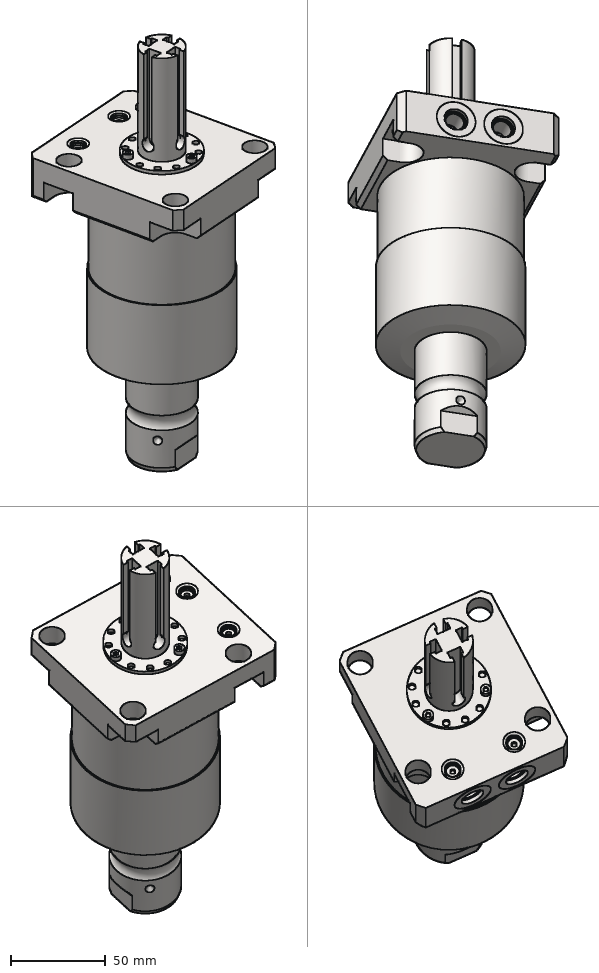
import cadquery as cq
import math


PLATE_LENGTH = 100.0
PLATE_WIDTH = 88.9
PLATE_THICKNESS = 25.4
PLATE_X_MIN = -55.5
PLATE_X_MAX = PLATE_X_MIN + PLATE_LENGTH
PLATE_Y_MAX = PLATE_WIDTH / 2
CORNER_CHAMFER = 4.0
BOTTOM_CHAMFER = 2.54

BOLT_OFFSET = 35.0
BOLT_HOLE_DIAMETER = 13.5
BOLT_SLOT_WIDTH = 19.3
BOLT_SLOT_FLOOR = -12.5

PORT_Y = 13.0
PORT_Z = -13.1
PORT_SPOT_DIAMETER = 21.3
PORT_SPOT_DEPTH = 0.1
PORT_MOUTH_DIAMETER = 12.7
PORT_MOUTH_DEPTH = 2.5
PORT_SEAT_DIAMETER = 11.3
PORT_SEAT_DEPTH = 2.8
PORT_BORE_DIAMETER = 9.9
PORT_DEPTH = 14.0

PLUG_X = -41.6
PLUG_Y = 18.0
PLUG_MOUTH_DIAMETER = 11.6
PLUG_MOUTH_DEPTH = 0.6
PLUG_SEAT_DIAMETER = 8.6
PLUG_SEAT_DEPTH = 1.8
PLUG_RECESS_DIAMETER = 7.0
PLUG_RECESS_DEPTH = 3.0
PLUG_CENTRE_DIAMETER = 2.8
PLUG_CENTRE_DEPTH = 5.0

FLANGE_DIAMETER = 44.45
FLANGE_HEIGHT = 2.2
FLANGE_HOLE_COUNT = 12
FLANGE_HOLE_CIRCLE = 39.0
FLANGE_HOLE_DIAMETER = 3.7
SCREW_EVERY = 4
SCREW_HEAD_DIAMETER = 5.5
SCREW_HEAD_HEIGHT = 3.0
SCREW_SOCKET_ACROSS_FLATS = 2.5
SCREW_SOCKET_DEPTH = 1.5

SHAFT_DIAMETER = 25.4
SHAFT_TOP = 65.2
SLOT_COUNT = 4
SLOT_NECK_WIDTH = 5.3
SLOT_HEAD_WIDTH = 7.5
SLOT_HEAD_OUTER_RADIUS = 9.4
SLOT_FLOOR_RADIUS = 5.9
SLOT_END_Z = 10.8

TOTAL_HEIGHT = 248.31
UPPER_BODY_RADIUS = 77.4 / 2
LOWER_BODY_RADIUS = 79.0 / 2
BODY_STEP_Z = -69.6
CONE_TOP_Z = -117.7
CONE_BOTTOM_Z = -121.7
CONE_BOTTOM_RADIUS = 26.5

NOSE_RADIUS = 38.1 / 2
NOSE_BOTTOM_Z = SHAFT_TOP - TOTAL_HEIGHT
GROOVE_TOP_Z = -148.4
GROOVE_BOTTOM_Z = -157.4
GROOVE_DEPTH = 1.8
NOSE_CHAMFER_HEIGHT = 2.8
NOSE_CHAMFER_RADIAL = 0.95
FLAT_DISTANCE = 16.2
FLAT_TOP_Z = -170.2
DIMPLE_COUNT = 3
DIMPLE_Z = -163.7
DIMPLE_DIAMETER = 5.2
DIMPLE_DEPTH = 2.6


def cylinder_z(x, y, z_bottom, z_top, diameter):
    """Vertical cylinder between two heights."""
    return cq.Workplane("XY", origin=(x, y, z_bottom)).circle(diameter / 2).extrude(z_top - z_bottom)


def box_between(x0, x1, y0, y1, z0, z1):
    """Axis-aligned box between two opposite corners."""
    return cq.Workplane("XY").box(x1 - x0, y1 - y0, z1 - z0, centered=False).translate((x0, y0, z0))


def make_plate():
    """Rectangular plate with cut corners and bevelled lower edges, except on the -X side."""
    plate = box_between(PLATE_X_MIN, PLATE_X_MAX, -PLATE_Y_MAX, PLATE_Y_MAX, -PLATE_THICKNESS, 0)
    plate = plate.faces("<Z").edges("|X or >X").chamfer(BOTTOM_CHAMFER)
    outline = (
        cq.Workplane("XY", origin=(PLATE_X_MIN, -PLATE_Y_MAX, -PLATE_THICKNESS))
        .rect(PLATE_LENGTH, PLATE_WIDTH, centered=False)
        .extrude(PLATE_THICKNESS)
        .edges("|Z")
        .chamfer(CORNER_CHAMFER)
    )
    return plate.intersect(outline)


def cut_bolt_holes(plate):
    """Four through holes; bolt-head slots open to the sides, the +X pair open at the corner."""
    half_slot = BOLT_SLOT_WIDTH / 2
    slot_bottom = -PLATE_THICKNESS
    for side in (-1, 1):
        y = side * BOLT_OFFSET
        y_outer = side * PLATE_WIDTH
        y_low, y_high = sorted((y, y_outer))
        for x in (-BOLT_OFFSET, BOLT_OFFSET):
            plate = plate.cut(cylinder_z(x, y, slot_bottom, 0, BOLT_HOLE_DIAMETER))
            plate = plate.cut(cylinder_z(x, y, slot_bottom, BOLT_SLOT_FLOOR, BOLT_SLOT_WIDTH))
            x_end = PLATE_LENGTH if x > 0 else x + half_slot
            run_out = box_between(x - half_slot, x_end, y_low, y_high, slot_bottom, BOLT_SLOT_FLOOR)
            plate = plate.cut(run_out)
        y_low, y_high = sorted((y - side * half_slot, y_outer))
        corner = box_between(BOLT_OFFSET, PLATE_LENGTH, y_low, y_high, slot_bottom, BOLT_SLOT_FLOOR)
        plate = plate.cut(corner)
    return plate


def cut_ports(plate):
    """Two stepped ports with shallow spot faces on the -X face."""
    steps = (
        (PORT_SPOT_DIAMETER, PORT_SPOT_DEPTH),
        (PORT_MOUTH_DIAMETER, PORT_MOUTH_DEPTH),
        (PORT_SEAT_DIAMETER, PORT_SEAT_DEPTH),
        (PORT_BORE_DIAMETER, PORT_DEPTH),
    )
    for y in (-PORT_Y, PORT_Y):
        face = cq.Workplane("YZ", origin=(PLATE_X_MIN, y, PORT_Z))
        for diameter, depth in steps:
            plate = plate.cut(face.circle(diameter / 2).extrude(depth))
    return plate


def cut_plugs(plate):
    """Two stepped recesses with a countersunk mouth and a small centre hole in the top face."""
    steps = (
        (PLUG_SEAT_DIAMETER, PLUG_SEAT_DEPTH),
        (PLUG_RECESS_DIAMETER, PLUG_RECESS_DEPTH),
        (PLUG_CENTRE_DIAMETER, PLUG_CENTRE_DEPTH),
    )
    for y in (-PLUG_Y, PLUG_Y):
        mouth = cq.Solid.makeCone(
            PLUG_MOUTH_DIAMETER / 2,
            PLUG_SEAT_DIAMETER / 2,
            PLUG_MOUTH_DEPTH,
            pnt=cq.Vector(PLUG_X, y, 0),
            dir=cq.Vector(0, 0, -1),
        )
        plate = plate.cut(cq.Workplane(mouth))
        for diameter, depth in steps:
            plate = plate.cut(cylinder_z(PLUG_X, y, -depth, 0, diameter))
    return plate


def hex_socket(x, y, z_top, across_flats, depth):
    """Hexagonal socket sunk down from the given height."""
    across_corners = across_flats / math.cos(math.pi / 6)
    return cq.Workplane("XY", origin=(x, y, z_top)).polygon(6, across_corners).extrude(-depth)


def make_flange():
    """Round flange with a ring of holes, every fourth one holding a cap screw."""
    flange = cylinder_z(0, 0, 0, FLANGE_HEIGHT, FLANGE_DIAMETER)
    for i in range(FLANGE_HOLE_COUNT):
        angle = 2 * math.pi * i / FLANGE_HOLE_COUNT
        x = FLANGE_HOLE_CIRCLE / 2 * math.cos(angle)
        y = FLANGE_HOLE_CIRCLE / 2 * math.sin(angle)
        if i % SCREW_EVERY == 0:
            head_top = FLANGE_HEIGHT + SCREW_HEAD_HEIGHT
            flange = flange.union(cylinder_z(x, y, 0, head_top, SCREW_HEAD_DIAMETER))
            flange = flange.cut(hex_socket(x, y, head_top, SCREW_SOCKET_ACROSS_FLATS, SCREW_SOCKET_DEPTH))
        else:
            flange = flange.cut(cylinder_z(x, y, 0, FLANGE_HEIGHT, FLANGE_HOLE_DIAMETER))
    return flange


def make_shaft():
    """Shaft with T-slots that run down from the top and end in radial holes."""
    shaft = cylinder_z(0, 0, 0, SHAFT_TOP, SHAFT_DIAMETER)
    head_half = SLOT_HEAD_WIDTH / 2
    neck_half = SLOT_NECK_WIDTH / 2
    head = box_between(
        SLOT_FLOOR_RADIUS, SLOT_HEAD_OUTER_RADIUS, -head_half, head_half, SLOT_END_Z, SHAFT_TOP
    )
    neck = box_between(SLOT_FLOOR_RADIUS, SHAFT_DIAMETER, -neck_half, neck_half, SLOT_END_Z, SHAFT_TOP)
    end_plane = cq.Workplane("YZ", origin=(SLOT_FLOOR_RADIUS, 0, SLOT_END_Z))
    end_hole = end_plane.circle(head_half).extrude(SHAFT_DIAMETER)
    slot = head.union(neck).union(end_hole)
    for i in range(SLOT_COUNT):
        shaft = shaft.cut(slot.rotate((0, 0, 0), (0, 0, 1), 360 * i / SLOT_COUNT))
    return shaft


def make_housing():
    """Turned housing and tool holder below the plate."""
    groove_mid_z = (GROOVE_TOP_Z + GROOVE_BOTTOM_Z) / 2
    profile = (
        cq.Workplane("XZ")
        .moveTo(0, -PLATE_THICKNESS)
        .lineTo(UPPER_BODY_RADIUS, -PLATE_THICKNESS)
        .lineTo(UPPER_BODY_RADIUS, BODY_STEP_Z)
        .lineTo(LOWER_BODY_RADIUS, BODY_STEP_Z)
        .lineTo(LOWER_BODY_RADIUS, CONE_TOP_Z)
        .lineTo(CONE_BOTTOM_RADIUS, CONE_BOTTOM_Z)
        .lineTo(NOSE_RADIUS, CONE_BOTTOM_Z)
        .lineTo(NOSE_RADIUS, GROOVE_TOP_Z)
        .threePointArc((NOSE_RADIUS - GROOVE_DEPTH, groove_mid_z), (NOSE_RADIUS, GROOVE_BOTTOM_Z))
        .lineTo(NOSE_RADIUS, NOSE_BOTTOM_Z + NOSE_CHAMFER_HEIGHT)
        .lineTo(NOSE_RADIUS - NOSE_CHAMFER_RADIAL, NOSE_BOTTOM_Z)
        .lineTo(0, NOSE_BOTTOM_Z)
        .close()
    )
    return profile.revolve(360, (0, 0, 0), (0, 1, 0))


def cut_wrench_flats(body):
    """Two wrench flats facing -X and +X, each running out upward at 45 degrees."""
    outer = 2 * NOSE_RADIUS
    flat = (
        cq.Workplane("XZ")
        .moveTo(FLAT_DISTANCE, NOSE_BOTTOM_Z)
        .lineTo(FLAT_DISTANCE, FLAT_TOP_Z)
        .lineTo(outer, FLAT_TOP_Z + outer - FLAT_DISTANCE)
        .lineTo(outer, NOSE_BOTTOM_Z)
        .close()
        .extrude(NOSE_RADIUS, both=True)
    )
    return body.cut(flat).cut(flat.mirror("YZ"))


def cut_dimples(body):
    """Conical dimples spaced evenly around the tool holder, one facing -X."""
    cone_base = cq.Vector(-NOSE_RADIUS, 0, DIMPLE_Z)
    inward = cq.Vector(1, 0, 0)
    cone = cq.Workplane(cq.Solid.makeCone(DIMPLE_DIAMETER / 2, 0, DIMPLE_DEPTH, pnt=cone_base, dir=inward))
    for i in range(DIMPLE_COUNT):
        body = body.cut(cone.rotate((0, 0, 0), (0, 0, 1), 360 * i / DIMPLE_COUNT))
    return body


plate = make_plate()
plate = cut_bolt_holes(plate)
plate = cut_ports(plate)
plate = cut_plugs(plate)

housing = make_housing()
housing = cut_wrench_flats(housing)
housing = cut_dimples(housing)

result = plate.union(housing).union(make_flange()).union(make_shaft())